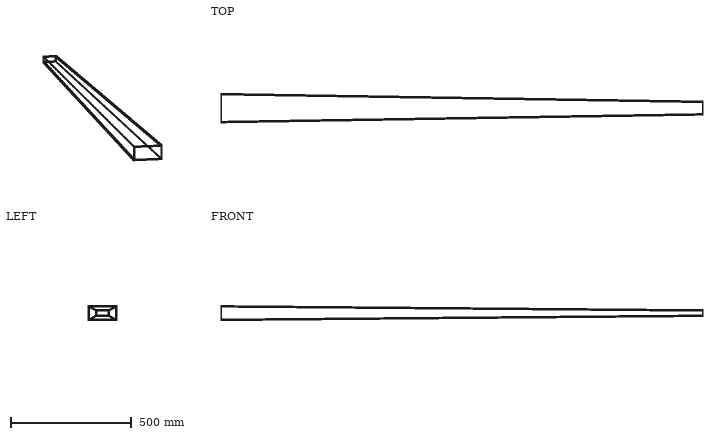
import cadquery as cq

LENGTH = 2000.0
ROOT_WIDTH = 120.0
ROOT_HEIGHT = 60.0
TIP_WIDTH = 56.0
TIP_HEIGHT = 26.0
WALL = 4.0


def tapered_bar(inset):
    """Lofted bar whose rectangular ends are shrunk by inset on every side."""
    return (
        cq.Workplane("YZ")
        .rect(ROOT_WIDTH - 2 * inset, ROOT_HEIGHT - 2 * inset)
        .workplane(offset=LENGTH)
        .rect(TIP_WIDTH - 2 * inset, TIP_HEIGHT - 2 * inset)
        .loft(ruled=True)
    )


outer_body = tapered_bar(0)
inner_bore = tapered_bar(WALL)
result = outer_body.cut(inner_bore)